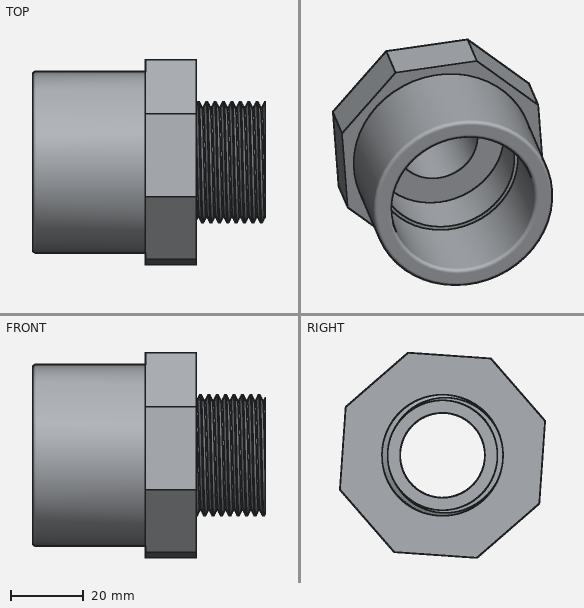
import cadquery as cq
import math

overall_length = 64.0
hex_start = 31.0
hex_end = 45.0

socket_diameter = 50.0
socket_bore_diameter = 40.0
socket_bore_depth = 26.0
mouth_radius = 1.0

relief_diameter = 38.0

collar_sides = 8
collar_across_flats = 55.0
collar_turn = -4.0

nipple_diameter = 30.2
through_diameter = 23.2
nipple_wall = (nipple_diameter - through_diameter) / 2
relief_depth = hex_end - nipple_wall

thread_major_diameter = 33.3
thread_pitch = 2.3
ridge_base_width = 1.85
ridge_crest_width = 0.3
ridge_trim = 0.2
ridge_start_angle = -90.0


def cylinder(diameter, start, end):
    """Solid cylinder on the X axis between two stations."""
    return cq.Workplane("YZ", origin=(start, 0, 0)).circle(diameter / 2).extrude(end - start)


def make_collar():
    """Octagonal prism for a spanner."""
    across_corners = collar_across_flats / math.cos(math.pi / collar_sides)
    half_side_angle = 180.0 / collar_sides
    return (
        cq.Workplane("YZ", origin=(hex_start, 0, 0))
        .polygon(collar_sides, across_corners)
        .extrude(hex_end - hex_start)
        .rotate((0, 0, 0), (1, 0, 0), half_side_angle + collar_turn)
    )


def make_fitting():
    """Socket, collar and plain nipple with the stepped bore through them."""
    socket = cylinder(socket_diameter, 0, hex_start)
    nipple = cylinder(nipple_diameter, hex_end, overall_length)
    fitting = (
        socket.union(make_collar())
        .union(nipple)
        .cut(cylinder(socket_bore_diameter, 0, socket_bore_depth))
        .cut(cylinder(relief_diameter, socket_bore_depth, relief_depth))
        .cut(cylinder(through_diameter, relief_depth, overall_length))
    )
    return fitting.faces("<X").edges().fillet(mouth_radius)


def make_thread():
    """Flat-topped helical ridge wound on the nipple, ending flush at the collar and at the nipple end."""
    root_radius = nipple_diameter / 2
    crest_radius = thread_major_diameter / 2
    thread_length = overall_length - hex_end

    foot_radius = root_radius - ridge_trim
    flank_slope = (ridge_base_width - ridge_crest_width) / (crest_radius - root_radius)
    foot_width = ridge_base_width + flank_slope * ridge_trim

    helix = cq.Wire.makeHelix(thread_pitch, thread_length + 2 * thread_pitch, root_radius)
    ridge = (
        cq.Workplane("XZ")
        .polyline([
            (foot_radius, -foot_width / 2),
            (crest_radius, -ridge_crest_width / 2),
            (crest_radius, ridge_crest_width / 2),
            (foot_radius, foot_width / 2),
        ])
        .close()
        .sweep(cq.Workplane(obj=helix), isFrenet=True)
    )
    thread_space = (
        cq.Workplane("XY", origin=(0, 0, thread_pitch))
        .circle(thread_major_diameter)
        .circle(root_radius)
        .extrude(thread_length)
    )

    return (
        ridge.intersect(thread_space)
        .rotate((0, 0, 0), (1, 1, 1), 120)
        .rotate((0, 0, 0), (1, 0, 0), ridge_start_angle)
        .translate((hex_end - thread_pitch, 0, 0))
    )


fitting = make_fitting()
thread = make_thread()

result = cq.Compound.makeCompound([fitting.val(), thread.val()])